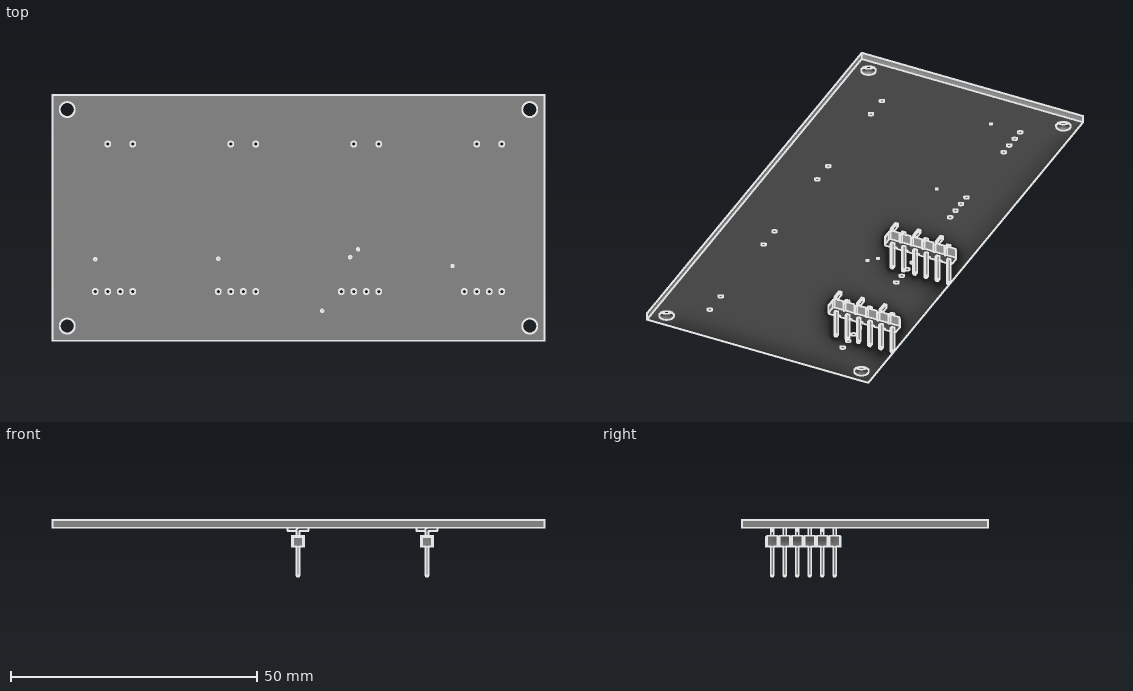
import cadquery as cq

board_length = 100.0
board_width = 50.0
board_thickness = 1.6
board_bottom = -board_thickness

inch = 25.4
pitch = inch / 10

mount_diameter = 3.0
mount_inset = 3.0

lead_diameter = 1.0
group_count = 4
group_spacing = board_length / group_count
lead_row_y = 15.0
front_row_steps = (-1.5, -0.5, 0.5, 1.5)
back_row_steps = (-0.5, 1.5)

via_diameter = 0.49
via_places = [(-41.3, -8.4), (-16.3, -8.3), (10.5, -8.0), (12.1, -6.4), (31.3, -9.8), (4.8, -18.9)]

header_places = [(-0.1, -12.5), (26.1, -12.5)]
pin_count = 6
pin_size = 0.65
pin_tail = 5.8
tip_length = 0.34
tip_size = 0.3
foot_taper = 0.15
foot_reach = 2.2
bend_radius = 0.5
body_gap = 1.6
body_height = 2.2
body_width = 2.5
body_notch = 0.3
body_bevel = 0.3
body_top = board_bottom - body_gap
body_bottom = body_top - body_height
pin_tip_z = body_bottom - pin_tail - tip_length


def make_board():
    """Plate with mounting holes, lead holes and vias, all drilled through."""
    board = cq.Workplane("XY").box(board_length, board_width, board_thickness, centered=(True, True, False))
    board = board.translate((0, 0, board_bottom))
    mounts = (
        cq.Workplane("XY")
        .rect(board_length - 2 * mount_inset, board_width - 2 * mount_inset, forConstruction=True)
        .vertices()
        .circle(mount_diameter / 2)
        .extrude(board_bottom)
    )
    group_centres = [(index - (group_count - 1) / 2) * group_spacing for index in range(group_count)]
    lead_places = [(x + step * pitch, -lead_row_y) for x in group_centres for step in front_row_steps]
    lead_places += [(x + step * pitch, lead_row_y) for x in group_centres for step in back_row_steps]
    leads = cq.Workplane("XY").pushPoints(lead_places).circle(lead_diameter / 2).extrude(board_bottom)
    vias = cq.Workplane("XY").pushPoints(via_places).circle(via_diameter / 2).extrude(board_bottom)
    return board.cut(mounts).cut(leads).cut(vias)


def make_pin(side):
    """Square pin with tapered ends, bent at the top into a foot that points along X to the given side."""
    half = pin_size / 2
    tip = (
        cq.Workplane("XY", origin=(0, 0, pin_tip_z))
        .rect(tip_size, tip_size)
        .workplane(offset=tip_length)
        .rect(pin_size, pin_size)
        .loft(ruled=True)
    )
    post_bottom = pin_tip_z + tip_length
    post = (
        cq.Workplane("XY", origin=(0, 0, post_bottom))
        .rect(pin_size, pin_size)
        .extrude(board_bottom - post_bottom)
    )
    foot = (
        cq.Workplane("YZ", origin=(-half, 0, board_bottom - half))
        .rect(pin_size, pin_size)
        .extrude(foot_reach + half)
        .faces(">X")
        .chamfer(foot_taper)
    )
    pin = post.union(foot).edges("|Y and <X and >Z").fillet(bend_radius).union(tip)
    if side < 0:
        pin = pin.mirror("YZ")
    return pin


def make_body_cell():
    """Insulator around one pin: an octagonal block with its top bevelled toward the neighbouring pins."""
    return (
        cq.Workplane("XY", origin=(0, 0, body_bottom))
        .rect(body_width, pitch)
        .extrude(body_height)
        .edges("|Z")
        .chamfer(body_notch)
        .faces(">Z")
        .edges("|X")
        .chamfer(body_bevel)
    )


def make_header():
    """Row of pins along Y whose feet point to alternate sides."""
    header = cq.Workplane("XY")
    for index in range(pin_count):
        y = (index - (pin_count - 1) / 2) * pitch
        side = 1 if index % 2 == 0 else -1
        header = header.union(make_body_cell().translate((0, y, 0)))
        header = header.union(make_pin(side).translate((0, y, 0)))
    return header


result = make_board()
header = make_header()
for x, y in header_places:
    result = result.union(header.translate((x, y, 0)))